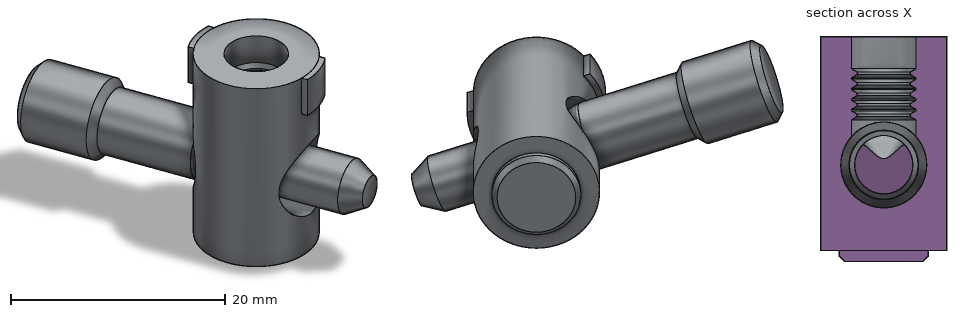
import cadquery as cq
import math


barrel_dia = 11.8
barrel_height = 20.0
barrel_bottom = -8.0
barrel_top = barrel_bottom + barrel_height
pin_bore_dia = 8.0
screw_bore_dia = 6.0
plain_bore_depth = 3.0
thread_pitch = 1.0
thread_count = 5
thread_flank_angle = 60.0
thread_crest_ratio = 1 / 4
thread_root_ratio = 1 / 8

key_outer_dia = 12.95
key_width = 4.0
key_height = 4.0
key_offset_y = 0.2

plug_dia = 8.33
plug_height = 1.02
plug_chamfer = 0.5

pin_length = 35.13
head_end_x = -23.3
head_dia = 8.0
head_length = 8.3
head_chamfer = 0.7
shank_dia = 6.5
shank_end_x = -5.27
collar_dia = 6.4
collar_length = 0.28
taper_half_angle = 15.0
stem_dia = 5.45
tip_length = 2.0
tip_half_angle = 30.0

dimple_x = -0.6
dimple_angle = 90.0


def make_screw_bore():
    """Bore about Z from the barrel top to its centre, lined with ring-shaped thread ridges."""
    bore_radius = screw_bore_dia / 2
    crest_length = thread_pitch * thread_crest_ratio
    root_length = thread_pitch * thread_root_ratio
    flank_length = (thread_pitch - crest_length - root_length) / 2
    crest_radius = bore_radius - flank_length / math.tan(math.radians(thread_flank_angle / 2))
    thread_top = barrel_top - plain_bore_depth

    profile = cq.Workplane("XZ").moveTo(0, barrel_top).lineTo(bore_radius, barrel_top)
    for index in range(thread_count):
        ridge_top = thread_top - index * thread_pitch
        crest_top = ridge_top - flank_length
        crest_bottom = crest_top - crest_length
        profile = (
            profile.lineTo(bore_radius, ridge_top)
            .lineTo(crest_radius, crest_top)
            .lineTo(crest_radius, crest_bottom)
            .lineTo(bore_radius, crest_bottom - flank_length)
        )
    profile = profile.lineTo(bore_radius, 0).lineTo(0, 0).close()
    return profile.revolve(360, (0, 0, 0), (0, 1, 0))


def make_barrel():
    """Upright cylinder with a cross bore for the pin and a threaded bore from the top."""
    body = (
        cq.Workplane("XY")
        .workplane(offset=barrel_bottom)
        .circle(barrel_dia / 2)
        .extrude(barrel_height)
    )
    pin_bore = cq.Workplane("YZ").circle(pin_bore_dia / 2).extrude(barrel_dia / 2, both=True)
    return body.cut(pin_bore).cut(make_screw_bore())


def make_key(side):
    """Curved strip lying against the barrel at its top, on the +X (1) or -X (-1) side."""
    ring = (
        cq.Workplane("XY")
        .workplane(offset=barrel_top - key_height)
        .circle(key_outer_dia / 2)
        .circle(barrel_dia / 2)
        .extrude(key_height)
    )
    strip = (
        cq.Workplane("XY")
        .box(key_outer_dia / 2, key_width, key_height)
        .translate((side * key_outer_dia / 4, key_offset_y, barrel_top - key_height / 2))
    )
    return ring.intersect(strip)


def make_plug():
    """Round disc against the barrel's lower face, chamfered at its free edge."""
    return (
        cq.Workplane("XY")
        .workplane(offset=barrel_bottom - plug_height)
        .circle(plug_dia / 2)
        .extrude(plug_height)
        .faces("<Z")
        .chamfer(plug_chamfer)
    )


def make_dimple():
    """Cone that widens upward from the pin axis."""
    height = stem_dia
    radius = height * math.tan(math.radians(dimple_angle / 2))
    return cq.Workplane(
        cq.Solid.makeCone(0, radius, height, pnt=cq.Vector(dimple_x, 0, 0), dir=cq.Vector(0, 0, 1))
    )


def make_pin():
    """Turned pin along X: chamfered head, shank, collar tapering to a thinner stem, and conical tip."""
    head_radius = head_dia / 2
    shank_radius = shank_dia / 2
    collar_radius = collar_dia / 2
    stem_radius = stem_dia / 2
    collar_end_x = shank_end_x + collar_length
    taper_length = (collar_radius - stem_radius) / math.tan(math.radians(taper_half_angle))
    head_shoulder = head_radius - shank_radius
    head_inner_x = head_end_x + head_length
    tip_x = head_end_x + pin_length
    tip_radius = stem_radius - tip_length * math.tan(math.radians(tip_half_angle))

    turned = (
        cq.Workplane("XY")
        .moveTo(head_end_x, 0)
        .lineTo(head_end_x, head_radius - head_chamfer)
        .lineTo(head_end_x + head_chamfer, head_radius)
        .lineTo(head_inner_x - head_shoulder, head_radius)
        .lineTo(head_inner_x, shank_radius)
        .lineTo(shank_end_x, shank_radius)
        .lineTo(shank_end_x, collar_radius)
        .lineTo(collar_end_x, collar_radius)
        .lineTo(collar_end_x + taper_length, stem_radius)
        .lineTo(tip_x - tip_length, stem_radius)
        .lineTo(tip_x, tip_radius)
        .lineTo(tip_x, 0)
        .close()
        .revolve(360, (0, 0, 0), (1, 0, 0))
    )
    return turned.cut(make_dimple())


barrel = make_barrel()
keys = [make_key(side) for side in (-1, 1)]
plug = make_plug()
pin = make_pin()

result = cq.Compound.makeCompound(
    [barrel.val(), *[key.val() for key in keys], plug.val(), pin.val()]
)